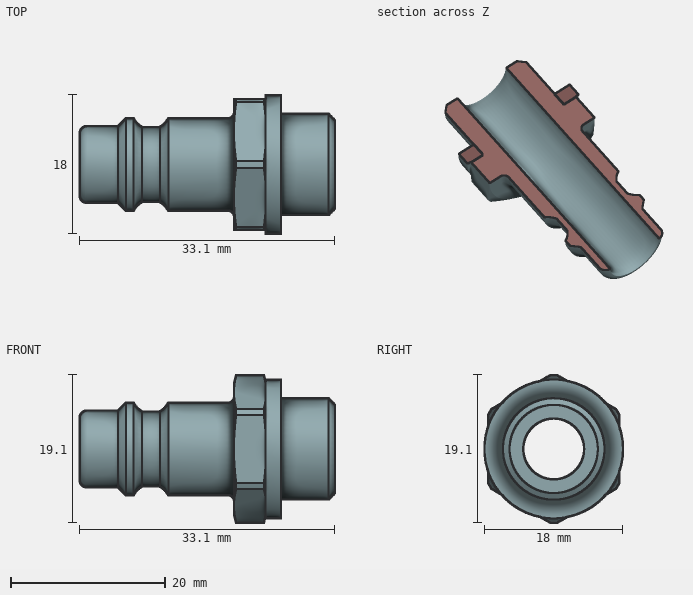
import cadquery as cq
import math


bore_diameter = 7.85
tip_diameter = 10.0
body_diameter = 12.0
groove_diameter = 9.75
tip_rounding = 1.0
tip_length = 5.0
collar_land = 1.0
groove_end = 11.5
groove_flank_width = 1.1
groove_flank_radius = 2.75
hex_fillet = 0.75

hex_start = 20.0
hex_thickness = 4.1
across_flats = 17.0
corner_diameter = 19.15
hex_face_diameter = across_flats
hex_seat_diameter = 17.5
hex_chamfer_angle = math.radians(15)

ring_diameter = 18.0
ring_thickness = 2.0
thread_diameter = 13.16
thread_chamfer = 0.86
total_length = 33.1

tip_radius = tip_diameter / 2
body_radius = body_diameter / 2
groove_radius = groove_diameter / 2
corner_radius = corner_diameter / 2
thread_radius = thread_diameter / 2
bore_radius = bore_diameter / 2
collar_start = tip_length + body_radius - tip_radius
groove_start = collar_start + collar_land
hex_end = hex_start + hex_thickness
quarter_arc_middle = math.radians(45)


def revolve_about_x(profile):
    """Turn a closed XY profile, with Y as the radius, about the X axis."""
    return profile.close().revolve(360, (0, 0, 0), (1, 0, 0))


def flank_middle(start, end):
    """Middle point of a hollow groove flank between two (x, radius) points."""
    chord_x = end[0] - start[0]
    chord_r = end[1] - start[1]
    chord = math.hypot(chord_x, chord_r)
    sagitta = groove_flank_radius - math.sqrt(groove_flank_radius**2 - chord**2 / 4)
    toward_axis = (chord_r / chord, -chord_x / chord)
    middle_x = (start[0] + end[0]) / 2 + sagitta * toward_axis[0]
    middle_r = (start[1] + end[1]) / 2 + sagitta * toward_axis[1]
    return middle_x, middle_r


def make_shank():
    """Turned plug end and threaded end, solid, running through the hexagon."""
    rounding_reach = tip_rounding * math.sin(quarter_arc_middle)
    left_top = (groove_start, body_radius)
    left_foot = (groove_start + groove_flank_width, groove_radius)
    right_foot = (groove_end - groove_flank_width, groove_radius)
    right_top = (groove_end, body_radius)
    fillet_reach = hex_fillet * math.sin(quarter_arc_middle)
    profile = (
        cq.Workplane("XY")
        .moveTo(0, 0)
        .lineTo(0, tip_radius - tip_rounding)
        .threePointArc(
            (tip_rounding - rounding_reach, tip_radius - tip_rounding + rounding_reach),
            (tip_rounding, tip_radius),
        )
        .lineTo(tip_length, tip_radius)
        .lineTo(collar_start, body_radius)
        .lineTo(*left_top)
        .threePointArc(flank_middle(left_top, left_foot), left_foot)
        .lineTo(*right_foot)
        .threePointArc(flank_middle(right_foot, right_top), right_top)
        .lineTo(hex_start - hex_fillet, body_radius)
        .threePointArc(
            (hex_start - hex_fillet + fillet_reach, body_radius + hex_fillet - fillet_reach),
            (hex_start, body_radius + hex_fillet),
        )
        .lineTo(hex_end, body_radius + hex_fillet)
        .lineTo(hex_end, thread_radius)
        .lineTo(total_length - thread_chamfer, thread_radius)
        .lineTo(total_length, thread_radius - thread_chamfer)
        .lineTo(total_length, 0)
    )
    return revolve_about_x(profile)


def make_hexagon():
    """Hexagon with flats on +Y and -Y, corners turned down and both faces chamfered."""
    prism = (
        cq.Workplane("YZ")
        .workplane(offset=hex_start)
        .polygon(6, across_flats, circumscribed=True)
        .extrude(hex_thickness)
    )
    face_radius = hex_face_diameter / 2
    seat_radius = hex_seat_diameter / 2
    face_chamfer = (corner_radius - face_radius) * math.tan(hex_chamfer_angle)
    seat_chamfer = (corner_radius - seat_radius) * math.tan(hex_chamfer_angle)
    envelope = (
        cq.Workplane("XY")
        .moveTo(hex_start, 0)
        .lineTo(hex_start, face_radius)
        .lineTo(hex_start + face_chamfer, corner_radius)
        .lineTo(hex_end - seat_chamfer, corner_radius)
        .lineTo(hex_end, seat_radius)
        .lineTo(hex_end, 0)
    )
    return prism.intersect(revolve_about_x(envelope))


def make_nipple():
    """Shank and hexagon in one piece, bored through."""
    bore = cq.Workplane("YZ").circle(bore_radius).extrude(total_length)
    return make_shank().union(make_hexagon()).cut(bore)


def make_sealing_ring():
    """Flat ring on the threaded end, resting against the hexagon."""
    return (
        cq.Workplane("YZ")
        .workplane(offset=hex_end)
        .circle(ring_diameter / 2)
        .circle(thread_radius)
        .extrude(ring_thickness)
    )


nipple = make_nipple()
sealing_ring = make_sealing_ring()
result = cq.Compound.makeCompound([nipple.val(), sealing_ring.val()])